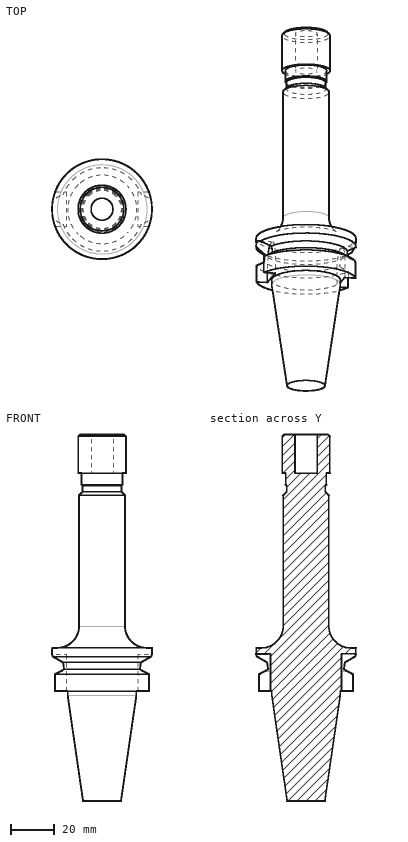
import cadquery as cq
import math

total_height = 168.4

taper_height = 48.5
taper_per_side = 7 / 48
gauge_radius = 15.8

flange_radius = 46.0 / 2
flange_bottom = 50.5
flange_top = 70.4
groove_radius = 19.2
groove_lower_edge = 58.3
groove_floor_bottom = 60.5
groove_floor_top = 63.7
groove_upper_edge = 66.3

slot_width = 15.8
slot_top = 67.5
slot_floor_offset = 16.3

shank_radius = 10.6
shank_fillet = 10.0
shank_top = 140.5
relief_radius = 18.0 / 2
relief_bottom = 142.0
relief_top = 144.8
neck_bottom = 145.3
neck_radius = 19.0 / 2
head_radius = 22.0 / 2
head_bottom = 150.5
head_chamfer = 1.0
bore_radius = 5.0

taper_end_radius = gauge_radius - taper_height * taper_per_side
bore_depth = total_height - head_bottom


def make_body():
    """Revolve the half outline of the holder about the Z axis."""
    fillet_end_radius = shank_radius + shank_fillet
    fillet_start_height = flange_top + shank_fillet
    arc_inset = shank_fillet * (1 - math.sqrt(0.5))
    fillet_middle = (shank_radius + arc_inset, flange_top + arc_inset)
    outline = (
        cq.Workplane("XZ")
        .lineTo(taper_end_radius, 0)
        .lineTo(gauge_radius, taper_height)
        .lineTo(gauge_radius, flange_bottom)
        .lineTo(flange_radius, flange_bottom)
        .lineTo(flange_radius, groove_lower_edge)
        .lineTo(groove_radius, groove_floor_bottom)
        .lineTo(groove_radius, groove_floor_top)
        .lineTo(flange_radius, groove_upper_edge)
        .lineTo(flange_radius, flange_top)
        .lineTo(fillet_end_radius, flange_top)
        .threePointArc(fillet_middle, (shank_radius, fillet_start_height))
        .lineTo(shank_radius, shank_top)
        .lineTo(relief_radius, relief_bottom)
        .lineTo(relief_radius, relief_top)
        .lineTo(neck_radius, neck_bottom)
        .lineTo(neck_radius, head_bottom)
        .lineTo(head_radius, head_bottom)
        .lineTo(head_radius, total_height - head_chamfer)
        .lineTo(head_radius - head_chamfer, total_height)
        .lineTo(0, total_height)
        .close()
    )
    return outline.revolve(360, (0, 0, 0), (0, 1, 0))


def make_drive_slot(side):
    """Round-topped slot open at the flange bottom; side is +1 or -1 along X."""
    half_width = slot_width / 2
    arc_height = slot_top - half_width
    return (
        cq.Workplane("YZ", origin=(side * slot_floor_offset, 0, 0))
        .moveTo(-half_width, flange_bottom)
        .lineTo(half_width, flange_bottom)
        .lineTo(half_width, arc_height)
        .threePointArc((0, slot_top), (-half_width, arc_height))
        .close()
        .extrude(side * flange_radius)
    )


def make_bore():
    """Blind bore in the end of the head."""
    bore_floor = total_height - bore_depth
    return cq.Workplane("XY", origin=(0, 0, bore_floor)).circle(bore_radius).extrude(bore_depth)


result = make_body().cut(make_bore())
for slot_side in (1, -1):
    result = result.cut(make_drive_slot(slot_side))